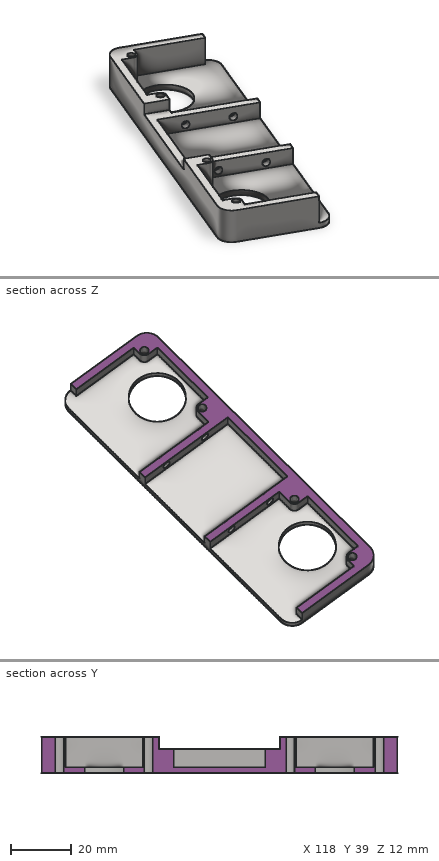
import cadquery as cq

length = 118.0
width = 39.0
height = 12.0
corner_radius = 5.1

floor_thickness = 2.0
wall = 3.0
low_height = 8.0
low_section_length = 40.0
middle_bay_length = 30.2

opening_diameter = 19.0
opening_x = 38.2
opening_from_front = 13.9
screw_diameter = 2.7
screw_spacing = 29.5
screw_from_front = 7.0
boss_radius = 2.0

cross_hole_diameter = 2.7
cross_hole_z = 4.2
cross_hole_ys = (10.1, -6.6)

front_y = -width / 2
back_y = width / 2
divider_outer_x = middle_bay_length / 2 + wall
bay_outer_x = length / 2 - wall
screw_y = front_y + screw_from_front
boss_back_y = screw_y + boss_radius


def block(x0, x1, y0, y1, z0, z1):
    """Box between opposite corner coordinates."""
    return cq.Workplane("XY").box(x1 - x0, y1 - y0, z1 - z0, centered=False).translate((x0, y0, z0))


def through_hole(x, y, diameter):
    return cq.Workplane("XY").center(x, y).circle(diameter / 2).extrude(height)


def end_bay(side):
    """Open-backed pocket with a narrower front part between two screw bosses."""
    center_x = side * opening_x
    boss_inner = screw_spacing / 2 - boss_radius
    x0, x1 = sorted((side * divider_outer_x, side * bay_outer_x))
    bay = block(x0, x1, boss_back_y, back_y, floor_thickness, height)
    bay = bay.union(block(center_x - boss_inner, center_x + boss_inner, front_y + wall, back_y,
                          floor_thickness, height))
    for direction in (-1, 1):
        boss_x = center_x + direction * screw_spacing / 2
        corner_x0, corner_x1 = sorted((boss_x, center_x + direction * boss_inner))
        corner = block(corner_x0, corner_x1, screw_y, boss_back_y, floor_thickness, height)
        bay = bay.union(corner.cut(through_hole(boss_x, screw_y, 2 * boss_radius)))
    return bay


tray = cq.Workplane("XY").box(length, width, height, centered=(True, True, False))
tray = tray.edges("|Z").fillet(corner_radius)

half_low = low_section_length / 2
step_cut = block(-half_low, half_low, front_y, boss_back_y, low_height, height)
divider_cut = block(-divider_outer_x, divider_outer_x, boss_back_y, back_y, low_height, height)
tray = tray.cut(step_cut).cut(divider_cut)

half_bay = middle_bay_length / 2
tray = tray.cut(block(-half_bay, half_bay, front_y + wall, back_y, floor_thickness, height))

for side in (-1, 1):
    tray = tray.cut(end_bay(side))
    tray = tray.cut(through_hole(side * opening_x, front_y + opening_from_front, opening_diameter))
    for direction in (-1, 1):
        screw_x = side * opening_x + direction * screw_spacing / 2
        tray = tray.cut(through_hole(screw_x, screw_y, screw_diameter))

for x0, x1 in ((-length / 2, -bay_outer_x), (bay_outer_x, length / 2)):
    tray = tray.cut(block(x0, x1, back_y - corner_radius, back_y, floor_thickness, height))

for y in cross_hole_ys:
    drill = cq.Workplane("YZ").center(y, cross_hole_z).circle(cross_hole_diameter / 2)
    tray = tray.cut(drill.extrude(divider_outer_x, both=True))

result = tray